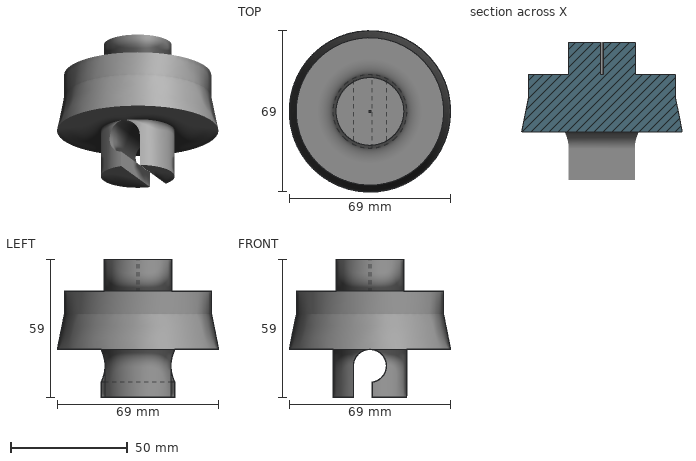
import cadquery as cq

stem_diameter = 31.5
stem_height = 20.5
skirt_bottom_diameter = 69.0
skirt_height = 15.0
disc_diameter = 63.0
disc_height = 10.0
boss_diameter = 29.0
boss_height = 13.5

pin_hole_diameter = 1.0

seat_diameter = 14.0
entry_right_x = 1.0

seat_radius = seat_diameter / 2
seat_z = stem_height - seat_radius
skirt_top_z = stem_height + skirt_height
disc_top_z = skirt_top_z + disc_height
total_height = disc_top_z + boss_height


def make_body():
    """Revolve the stem, tapered skirt, disc and boss about Z."""
    profile = [
        (0, 0),
        (stem_diameter / 2, 0),
        (stem_diameter / 2, stem_height),
        (skirt_bottom_diameter / 2, stem_height),
        (disc_diameter / 2, skirt_top_z),
        (disc_diameter / 2, disc_top_z),
        (boss_diameter / 2, disc_top_z),
        (boss_diameter / 2, total_height),
        (0, total_height),
    ]
    return cq.Workplane("XZ").polyline(profile).close().revolve(360, (0, 0), (0, 1))


def make_slot():
    """Round seat and entry, running along Y through the whole stem."""
    seat = (
        cq.Workplane("XZ")
        .center(0, seat_z)
        .circle(seat_radius)
        .extrude(stem_diameter / 2, both=True)
    )
    entry_width = entry_right_x + seat_radius
    entry = cq.Workplane("XY").box(
        entry_width, stem_diameter, seat_z, centered=(False, True, False)
    ).translate((-seat_radius, 0, 0))
    return seat.union(entry)


def make_pin_hole():
    """Blind axial hole, as deep as the boss is high."""
    return (
        cq.Workplane("XY")
        .workplane(offset=disc_top_z)
        .circle(pin_hole_diameter / 2)
        .extrude(boss_height)
    )


result = make_body().cut(make_slot()).cut(make_pin_hole())